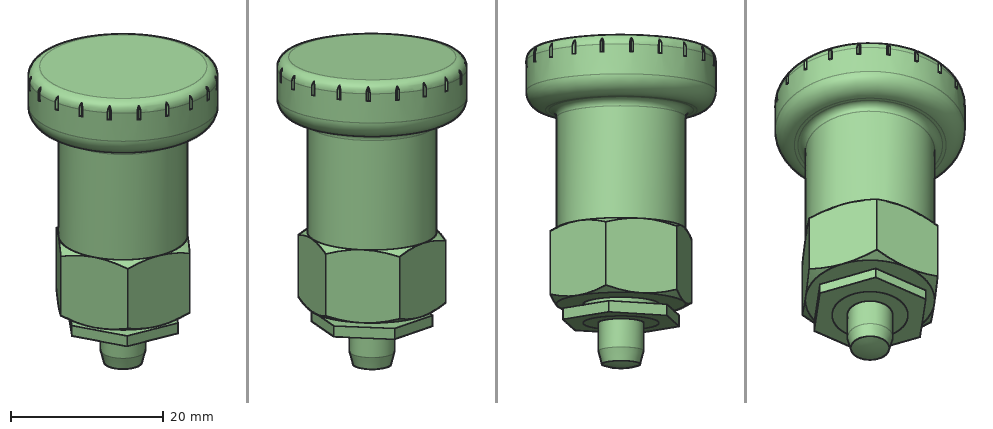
import cadquery as cq
import math


pin_reach = 6.0
nut_height = 1.5
nut_gap = 1.0
hex_height = 10.0
sleeve_height = 16.02
knob_height = 8.0

pin_diameter = 6.0
tip_diameter = 5.05
taper_start_z = 2.25
dome_height = 0.45

hex_sides = 6
hex_across_flats = 17.0
hex_chamfer_angle = 30
corner_clearance = 0.42
stem_diameter = 10.0
nut_across_flats = 14.0

knob_diameter = 25.0
sleeve_diameter = hex_across_flats
top_round = 1.5
bottom_round = 2.5
sleeve_fillet = 1.0

notch_count = 20
notch_depth = 0.25
notch_bottom_below_top = 2.5

nut_top_z = pin_reach + nut_height
hex_bottom_z = nut_top_z + nut_gap
hex_top_z = hex_bottom_z + hex_height
knob_bottom_z = hex_top_z + sleeve_height
knob_top_z = knob_bottom_z + knob_height

knob_radius = knob_diameter / 2
sleeve_radius = sleeve_diameter / 2


def hexagon(across_flats, bottom_z, height):
    """Hexagonal prism with corners on the X axis."""
    across_corners = across_flats / math.cos(math.pi / hex_sides)
    return cq.Workplane("XY").workplane(offset=bottom_z).polygon(hex_sides, across_corners).extrude(height)


def disc(diameter, bottom_z, height):
    """Cylinder on the plunger axis."""
    return cq.Workplane("XY").workplane(offset=bottom_z).circle(diameter / 2).extrude(height)


def chamfer_envelope():
    """Double cone that rounds off the hexagon corners, starting at the flats on each end face."""
    flat_radius = hex_across_flats / 2
    outer_radius = hex_across_flats / math.cos(math.pi / hex_sides) / 2 + corner_clearance
    drop = (outer_radius - flat_radius) * math.tan(math.radians(hex_chamfer_angle))
    return (
        cq.Workplane("XZ")
        .moveTo(0, hex_bottom_z)
        .lineTo(flat_radius, hex_bottom_z)
        .lineTo(outer_radius, hex_bottom_z + drop)
        .lineTo(outer_radius, hex_top_z - drop)
        .lineTo(flat_radius, hex_top_z)
        .lineTo(0, hex_top_z)
        .close()
        .revolve(360, (0, 0), (0, 1))
    )


def pin():
    """Pin with a tapered end and a shallow domed tip, reaching up into the stem."""
    pin_radius = pin_diameter / 2
    tip_radius = tip_diameter / 2
    dome_radius = (tip_radius**2 + dome_height**2) / (2 * dome_height)
    half_chord = tip_radius / 2
    half_chord_z = dome_radius - math.sqrt(dome_radius**2 - half_chord**2)
    return (
        cq.Workplane("XZ")
        .moveTo(0, 0)
        .threePointArc((half_chord, half_chord_z), (tip_radius, dome_height))
        .lineTo(pin_radius, taper_start_z)
        .lineTo(pin_radius, nut_top_z)
        .lineTo(0, nut_top_z)
        .close()
        .revolve(360, (0, 0), (0, 1))
    )


def make_housing():
    """Chamfered hexagon with the stem that carries the nut and the pin below it."""
    chamfered_hexagon = hexagon(hex_across_flats, hex_bottom_z, hex_height).intersect(chamfer_envelope())
    stem = disc(stem_diameter, pin_reach, hex_bottom_z - pin_reach)
    return chamfered_hexagon.union(stem).union(pin())


def make_nut():
    """Thin plain hexagon nut on the end of the stem."""
    return hexagon(nut_across_flats, pin_reach, nut_height).cut(disc(stem_diameter, pin_reach, nut_height))


def knob_blank():
    """Round knob head blended into its cylindrical sleeve."""
    standoff = 1 - math.sqrt(0.5)
    return (
        cq.Workplane("XZ")
        .moveTo(0, hex_top_z)
        .lineTo(sleeve_radius, hex_top_z)
        .lineTo(sleeve_radius, knob_bottom_z - sleeve_fillet)
        .threePointArc(
            (
                sleeve_radius + sleeve_fillet * standoff,
                knob_bottom_z - sleeve_fillet * standoff,
            ),
            (sleeve_radius + sleeve_fillet, knob_bottom_z),
        )
        .lineTo(knob_radius - bottom_round, knob_bottom_z)
        .threePointArc(
            (
                knob_radius - bottom_round * standoff,
                knob_bottom_z + bottom_round * standoff,
            ),
            (knob_radius, knob_bottom_z + bottom_round),
        )
        .lineTo(knob_radius, knob_top_z - top_round)
        .threePointArc(
            (knob_radius - top_round * standoff, knob_top_z - top_round * standoff),
            (knob_radius - top_round, knob_top_z),
        )
        .lineTo(0, knob_top_z)
        .close()
        .revolve(360, (0, 0), (0, 1))
    )


def notch_cutter(angle):
    """Upright 90 degree wedge with its edge one notch depth inside the rim."""
    edge_radius = knob_radius - notch_depth
    wedge_size = 2 * notch_depth
    return (
        cq.Workplane("XY")
        .workplane(offset=knob_top_z - notch_bottom_below_top)
        .moveTo(edge_radius, 0)
        .lineTo(edge_radius + wedge_size, wedge_size)
        .lineTo(edge_radius + wedge_size, -wedge_size)
        .close()
        .extrude(notch_bottom_below_top)
        .rotate((0, 0, 0), (0, 0, 1), angle)
    )


def make_knob():
    """Knob with its sleeve and the ring of grip notches."""
    notched = knob_blank()
    for index in range(notch_count):
        notched = notched.cut(notch_cutter(index * 360 / notch_count))
    return notched


housing = make_housing()
nut = make_nut()
knob = make_knob()

result = cq.Compound.makeCompound([body.solids().val() for body in (housing, nut, knob)])